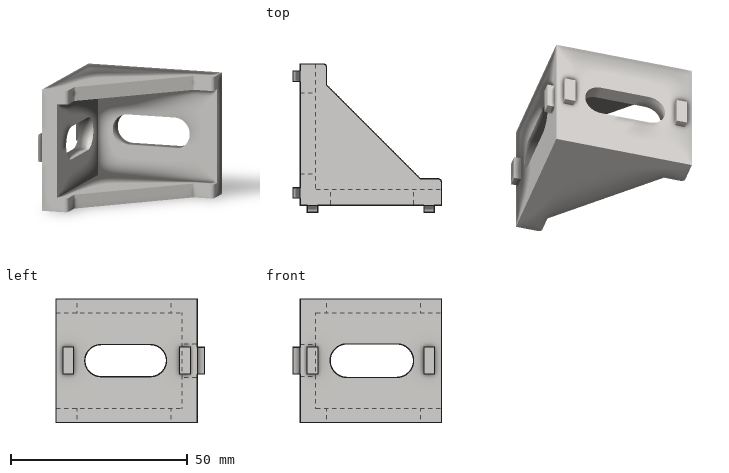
import cadquery as cq

OVERALL = 42.0
HEIGHT = 35.0
LUG_PROJECTION = 2.0
LEG = OVERALL - LUG_PROJECTION
MID_HEIGHT = HEIGHT / 2

WALL = 4.4
GUSSET = 4.0
TIP_WIDTH = 7.5
TIP_LENGTH = 6.0
TIP_RADIUS = 1.0

LUG_WIDTH = 3.0
LUG_HEIGHT = 7.7
LUG_INSET = LUG_PROJECTION

SLOT_CENTER = 20.3
FRONT_SLOT_LENGTH = 23.5
FRONT_SLOT_WIDTH = 9.4
SIDE_SLOT_LENGTH = 23.0
SIDE_SLOT_WIDTH = 9.0

FRONT_PLANE = "XZ"
FRONT_OUTWARD = 1
SIDE_PLANE = "YZ"
SIDE_OUTWARD = -1


def bracket_block():
    """Solid with the gusset outline over the full height, its inner tips rounded."""
    slope_start = LEG - TIP_LENGTH
    outline = [
        (0, 0),
        (LEG, 0),
        (LEG, TIP_WIDTH),
        (slope_start, TIP_WIDTH),
        (TIP_WIDTH, slope_start),
        (TIP_WIDTH, LEG),
        (0, LEG),
    ]
    block = cq.Workplane("XY").polyline(outline).close().extrude(HEIGHT)
    for tip in [(LEG, TIP_WIDTH, MID_HEIGHT), (TIP_WIDTH, LEG, MID_HEIGHT)]:
        block = block.edges(cq.selectors.NearestToPointSelector(tip)).fillet(TIP_RADIUS)
    return block


def cavity():
    """Space between the walls and the two gussets, open on the sloping side."""
    space = cq.Workplane("XY").box(LEG, LEG, HEIGHT - 2 * GUSSET, centered=False)
    return space.translate((WALL, WALL, GUSSET))


def slot(plane, outward, length, width):
    """Round-ended slot through one wall."""
    face = cq.Workplane(plane).center(SLOT_CENTER, MID_HEIGHT)
    return face.slot2D(length, width).extrude(-outward * WALL)


def lugs(plane, outward):
    """Pair of locating lugs on the outer face of a wall, one near each edge."""
    first = LUG_INSET + LUG_WIDTH / 2
    centers = [(first, MID_HEIGHT), (LEG - first, MID_HEIGHT)]
    outlines = cq.Workplane(plane).pushPoints(centers).rect(LUG_WIDTH, LUG_HEIGHT)
    return outlines.extrude(outward * LUG_PROJECTION)


bracket = bracket_block().cut(cavity())
bracket = bracket.cut(slot(FRONT_PLANE, FRONT_OUTWARD, FRONT_SLOT_LENGTH, FRONT_SLOT_WIDTH))
bracket = bracket.cut(slot(SIDE_PLANE, SIDE_OUTWARD, SIDE_SLOT_LENGTH, SIDE_SLOT_WIDTH))
bracket = bracket.union(lugs(FRONT_PLANE, FRONT_OUTWARD))
result = bracket.union(lugs(SIDE_PLANE, SIDE_OUTWARD))